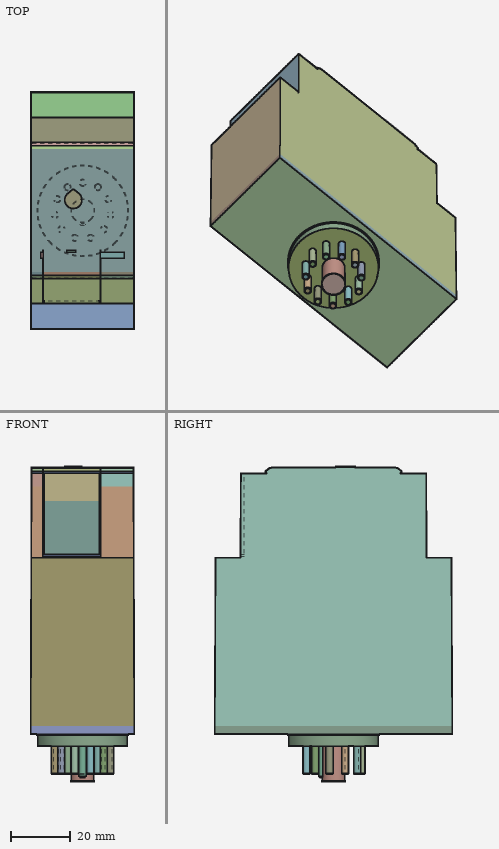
import cadquery as cq
import math

BASE_LENGTH = 80.4
BASE_WIDTH = 35.1
BASE_HEIGHT = 2.8
DRAFT = 0.28
SHOULDER_Z = 59.7
TIER_Z = 88.2
TOP_Z = 90.2
TIER_HALF = 31.4
TIER_BEND_Z = 83.7
TIER_LEAN = 0.1

CAP_FLAT_HALF = 20.8
CAP_BEVEL_HALF = 21.9
CAP_BEVEL_DROP = 0.35
CAP_LIP_HALF = 23.1
CAP_LIP_DROP = 1.4
CAP_FOOT_HALF = 22.7

DOOR_LEFT = -13.4
DOOR_RIGHT = 6.1
DOOR_BEND_Z = 78.8
DOOR_GAP = 0.45
DOOR_GAP_DEPTH = 1.0
DOOR_BOTTOM_Z = 60.8
DOOR_LEDGE_Z = 60.1
SEAM_WIDTH = 0.1
SEAM_DEPTH = 0.1
SEAM_END_Y = -13.4

MARK_DEPTH = 0.1
SLOT_LEFT = -5.4
SLOT_RIGHT = -2.3
SLOT_BACK_Y = -13.4
SLOT_FRONT_Y = -14.1
STRIP_HALF = 14.1
STRIP_BACK_Y = -14.1
STRIP_FRONT_Y = -16.1

KNOB_X = -3.1
KNOB_Y = 3.6
KNOB_RADIUS = 2.9
KNOB_NOSE = 3.7
KNOB_HEIGHT = 0.3

COLLAR_DIAMETER = 31.0
COLLAR_HEIGHT = 0.4
FLANGE_DIAMETER = 30.4
FLANGE_BOTTOM_Z = -4.1
PIN_COUNT = 11
PIN_DIAMETER = 2.4
PIN_CIRCLE_RADIUS = 9.5
PIN_BOTTOM_Z = -13.5
PIN_CHAMFER = 0.25
POST_DIAMETER = 7.7
POST_BOTTOM_Z = -16.1
POST_RIM_DIAMETER = 8.1
POST_RIM_HEIGHT = 0.4
KEY_DIAMETER = 2.4
KEY_REACH = 5.0
KEY_BOTTOM_Z = -14.8
KEY_CHAMFER = 0.6


def box_between(x0, x1, y0, y1, z0, z1):
    return cq.Workplane("XY").box(x1 - x0, y1 - y0, z1 - z0, centered=False).translate((x0, y0, z0))


def rod(diameter, z_top, z_bottom, x=0.0, y=0.0):
    return cq.Workplane("XY", origin=(x, y, z_bottom)).circle(diameter / 2).extrude(z_top - z_bottom)


def make_housing():
    base_half = BASE_LENGTH / 2
    shoulder_half = base_half - DRAFT
    cap_half = [
        (CAP_FOOT_HALF, TIER_Z),
        (CAP_LIP_HALF, TOP_Z - CAP_LIP_DROP),
        (CAP_BEVEL_HALF, TOP_Z - CAP_BEVEL_DROP),
        (CAP_FLAT_HALF, TOP_Z),
    ]
    front = [
        (-base_half, 0),
        (-base_half, BASE_HEIGHT),
        (-shoulder_half, SHOULDER_Z),
        (-TIER_HALF - TIER_LEAN, SHOULDER_Z),
        (-TIER_HALF, TIER_BEND_Z),
        (-TIER_HALF + TIER_LEAN, TIER_Z),
    ]
    front += [(-y, z) for y, z in cap_half]
    back = [(y, z) for y, z in reversed(cap_half)]
    back += [
        (TIER_HALF, TIER_Z),
        (TIER_HALF + TIER_LEAN, SHOULDER_Z),
        (shoulder_half, SHOULDER_Z),
        (base_half, BASE_HEIGHT),
        (base_half, 0),
    ]
    side = cq.Workplane("YZ").polyline(front + back).close().extrude(BASE_WIDTH / 2, both=True)

    half_width = BASE_WIDTH / 2
    drafted_width = [
        (-half_width, 0),
        (-half_width, BASE_HEIGHT),
        (-half_width + DRAFT, TOP_Z),
        (half_width - DRAFT, TOP_Z),
        (half_width, BASE_HEIGHT),
        (half_width, 0),
    ]
    width_limit = cq.Workplane("XZ").polyline(drafted_width).close().extrude(base_half, both=True)
    return side.intersect(width_limit)


def door_gap():
    """U-shaped gap along both sides and the bottom of the door."""
    gap_front = -TIER_HALF - TIER_LEAN
    gap_back = -TIER_HALF + DOOR_GAP_DEPTH
    left = box_between(DOOR_LEFT, DOOR_LEFT + DOOR_GAP, gap_front, gap_back, DOOR_LEDGE_Z, TIER_Z)
    right = box_between(DOOR_RIGHT - DOOR_GAP, DOOR_RIGHT, gap_front, gap_back, DOOR_LEDGE_Z, TIER_Z)
    bottom = box_between(DOOR_LEFT, DOOR_RIGHT, gap_front, gap_back, DOOR_LEDGE_Z, DOOR_BOTTOM_Z)
    return left.union(right).union(bottom)


def door_relief():
    """Thin layer in front of the door: upright below its bend, leaning back above it."""
    outer_y = -TIER_HALF - TIER_LEAN
    profile = [
        (outer_y, DOOR_LEDGE_Z),
        (-TIER_HALF, DOOR_LEDGE_Z),
        (-TIER_HALF, DOOR_BEND_Z),
        (-TIER_HALF + TIER_LEAN, TIER_Z),
        (outer_y, TIER_Z),
    ]
    workplane = cq.Workplane("YZ", origin=(DOOR_LEFT, 0, 0))
    return workplane.polyline(profile).close().extrude(DOOR_RIGHT - DOOR_LEFT)


def door_seam(housing, x):
    """Shallow seam that follows the top of the housing from the door edge inward."""
    slab = box_between(x, x + SEAM_WIDTH, -TIER_HALF, SEAM_END_Y, SHOULDER_Z, TOP_Z)
    slice_of_housing = housing.intersect(slab)
    return slice_of_housing.cut(slice_of_housing.translate((0, 0, -SEAM_DEPTH)))


def top_mark(x0, x1, y0, y1):
    return box_between(x0, x1, y0, y1, TOP_Z - MARK_DEPTH, TOP_Z)


def make_knob():
    nose_angle = math.acos(KNOB_RADIUS / KNOB_NOSE)
    tangent_x = KNOB_RADIUS * math.sin(nose_angle)
    tangent_y = KNOB_RADIUS * math.cos(nose_angle)
    return (
        cq.Workplane("XY", origin=(KNOB_X, KNOB_Y, TOP_Z))
        .moveTo(0, KNOB_NOSE)
        .lineTo(tangent_x, tangent_y)
        .threePointArc((0, -KNOB_RADIUS), (-tangent_x, tangent_y))
        .close()
        .extrude(KNOB_HEIGHT)
    )


def make_plug():
    plug = rod(COLLAR_DIAMETER, 0, -COLLAR_HEIGHT)
    plug = plug.union(rod(FLANGE_DIAMETER, 0, FLANGE_BOTTOM_Z))
    plug = plug.union(rod(POST_DIAMETER, 0, POST_BOTTOM_Z))
    plug = plug.union(rod(POST_RIM_DIAMETER, POST_BOTTOM_Z + POST_RIM_HEIGHT, POST_BOTTOM_Z))

    key_y = -(KEY_REACH - KEY_DIAMETER / 2)
    key = rod(KEY_DIAMETER, 0, KEY_BOTTOM_Z, y=key_y).faces("<Z").chamfer(KEY_CHAMFER)
    plug = plug.union(key)

    for index in range(PIN_COUNT):
        angle = 2 * math.pi * index / PIN_COUNT
        pin_x = PIN_CIRCLE_RADIUS * math.sin(angle)
        pin_y = PIN_CIRCLE_RADIUS * math.cos(angle)
        pin = rod(PIN_DIAMETER, 0, PIN_BOTTOM_Z, pin_x, pin_y).faces("<Z").chamfer(PIN_CHAMFER)
        plug = plug.union(pin)
    return plug


housing = make_housing()
seams = [door_seam(housing, x) for x in (DOOR_LEFT, DOOR_RIGHT - SEAM_WIDTH)]
marks = [
    top_mark(SLOT_LEFT, SLOT_RIGHT, SLOT_FRONT_Y, SLOT_BACK_Y),
    top_mark(-STRIP_HALF, DOOR_LEFT, STRIP_FRONT_Y, STRIP_BACK_Y),
    top_mark(DOOR_RIGHT, STRIP_HALF, STRIP_FRONT_Y, STRIP_BACK_Y),
]
for recess in [door_gap(), door_relief()] + seams + marks:
    housing = housing.cut(recess)

result = housing.union(make_knob()).union(make_plug())